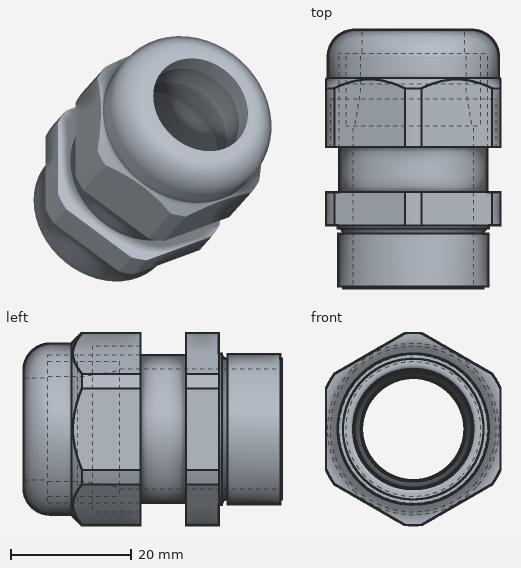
import cadquery as cq
import math


thread_start_y = 0.3
thread_end_y = 9.1
shoulder_y = 10.5
body_hex_end_y = 16.0
cap_start_y = 23.5
cap_hex_end_y = 35.0
overall_length = 43.0

hex_across_flats = 29.0
hex_corner_diameter = 32.0

thread_diameter = 25.0
core_diameter = 23.38
lip_diameter = 25.16
lip_width = 0.5
groove_fillet = 0.75
neck_diameter = 24.65
neck_end_y = 34.0
bore_diameter = 20.0
bore_mouth_fillet = 0.7

seal_diameter = 22.4
seal_start_y = 27.0
seal_mouth_diameter = 19.5
seal_throat_diameter = 18.1
seal_bore_diameter = 17.5
seal_taper_length = 4.0
seal_throat_length = 2.0

cap_diameter = 28.5
cap_opening_diameter = 17.0
cap_dome_radius = 4.6
cap_lip_thickness = 4.0
cap_recess_diameter = 27.55
cap_recess_depth = 8.0

cap_lip_y = overall_length - cap_lip_thickness


def revolve_profile(profile):
    """Turn a profile, drawn with radius along X and length along Y, about the Y axis."""
    return profile.close().revolve(360, (0, 0, 0), (0, 1, 0))


def cylinder(diameter, start_y, end_y):
    """Round bar about the Y axis."""
    return revolve_profile(
        cq.Workplane("XY")
        .moveTo(0, start_y)
        .lineTo(diameter / 2, start_y)
        .lineTo(diameter / 2, end_y)
        .lineTo(0, end_y)
    )


def hexagon(start_y, end_y):
    """Hexagonal bar with flats on +X and -X and its six corners turned round."""
    corner_to_corner = hex_across_flats / math.cos(math.radians(30))
    bar = (
        cq.Workplane("XZ", origin=(0, end_y, 0))
        .transformed(rotate=(0, 0, 30))
        .polygon(6, corner_to_corner)
        .extrude(end_y - start_y)
    )
    return bar.intersect(cylinder(hex_corner_diameter, start_y, end_y))


def make_body():
    thread_radius = thread_diameter / 2
    core_radius = core_diameter / 2
    lip_radius = lip_diameter / 2
    lip_y = shoulder_y - lip_width
    thread_section = revolve_profile(
        cq.Workplane("XY")
        .lineTo(core_radius, 0)
        .lineTo(core_radius, thread_start_y)
        .lineTo(thread_radius, thread_start_y)
        .lineTo(thread_radius, thread_end_y)
        .lineTo(core_radius, thread_end_y)
        .lineTo(core_radius, lip_y - groove_fillet)
        .radiusArc((core_radius + groove_fillet, lip_y), groove_fillet)
        .lineTo(lip_radius, lip_y)
        .lineTo(lip_radius, shoulder_y)
        .lineTo(0, shoulder_y)
    )
    solid = (
        thread_section
        .union(hexagon(shoulder_y, body_hex_end_y))
        .union(cylinder(neck_diameter, body_hex_end_y, neck_end_y))
    )

    bore_radius = bore_diameter / 2
    bore = revolve_profile(
        cq.Workplane("XY")
        .lineTo(bore_radius + bore_mouth_fillet, 0)
        .radiusArc((bore_radius, bore_mouth_fillet), bore_mouth_fillet)
        .lineTo(bore_radius, neck_end_y)
        .lineTo(0, neck_end_y)
    )
    seal_seat = cylinder(seal_diameter, seal_start_y, neck_end_y)
    return solid.cut(bore).cut(seal_seat)


def make_seal():
    """Sleeve seated in the body, tapering inward from its mouth to its bore."""
    throat_y = seal_start_y + seal_taper_length
    return revolve_profile(
        cq.Workplane("XY")
        .moveTo(seal_mouth_diameter / 2, seal_start_y)
        .lineTo(seal_diameter / 2, seal_start_y)
        .lineTo(seal_diameter / 2, cap_lip_y)
        .lineTo(seal_bore_diameter / 2, cap_lip_y)
        .lineTo(seal_bore_diameter / 2, throat_y + seal_throat_length)
        .lineTo(seal_throat_diameter / 2, throat_y)
    )


def make_cap():
    cap_radius = cap_diameter / 2
    corner_radius = hex_corner_diameter / 2
    chamfer_start_y = cap_hex_end_y - (corner_radius - cap_radius)

    chamfer_envelope = revolve_profile(
        cq.Workplane("XY")
        .moveTo(0, cap_start_y)
        .lineTo(corner_radius, cap_start_y)
        .lineTo(corner_radius, chamfer_start_y)
        .lineTo(cap_radius, cap_hex_end_y)
        .lineTo(0, cap_hex_end_y)
    )
    grip = hexagon(cap_start_y, cap_hex_end_y).intersect(chamfer_envelope)

    dome = revolve_profile(
        cq.Workplane("XY")
        .moveTo(0, cap_hex_end_y)
        .lineTo(cap_radius, cap_hex_end_y)
        .lineTo(cap_radius, overall_length - cap_dome_radius)
        .radiusArc((cap_radius - cap_dome_radius, overall_length), -cap_dome_radius)
        .lineTo(0, overall_length)
    )

    recess = cylinder(cap_recess_diameter, cap_start_y, cap_start_y + cap_recess_depth)
    neck_socket = cylinder(neck_diameter, cap_start_y, cap_lip_y)
    opening = cylinder(cap_opening_diameter, cap_lip_y, overall_length)
    return grip.union(dome).cut(recess).cut(neck_socket).cut(opening)


body = make_body()
seal = make_seal()
cap = make_cap()

result = cq.Compound.makeCompound([part.solids().val() for part in (body, seal, cap)])